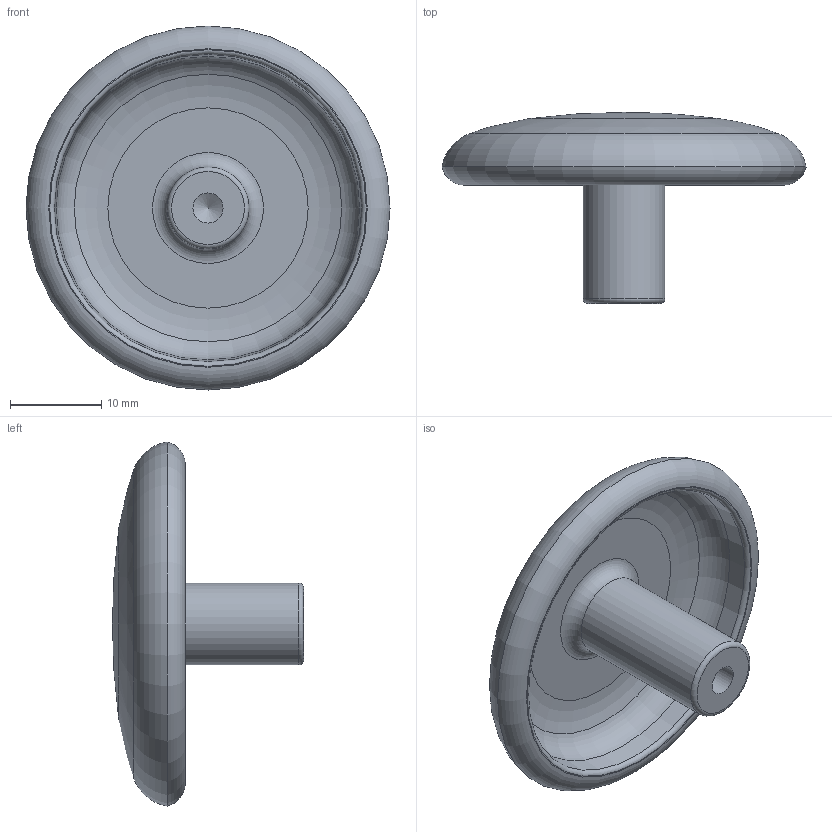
import cadquery as cq
import math


cap_radius = 20.0
cap_height = 8.0
crest_height = 2.0
crown_radius = 80.0
crown_edge_radius = 10.5
shoulder_radius = 28.5
shoulder_edge_radius = 17.0
edge_radius = 4.7
rim_radius = 17.5

lip_fillet = 0.5
mouth_radius = 16.9
wall_end_radius = 16.7
wall_end_height = 2.6
bend_end_radius = 14.7
bend_end_height = 5.34
floor_edge_radius = 11.0
floor_height = 6.1

stem_radius = 4.5
stem_length = 13.0
stem_end_fillet = 0.5
root_fillet = 1.6

hole_radius = 1.65
hole_depth = 10.0
drill_point_angle = 118.0


def arc_middle(start, end, radius):
    """Middle point of the minor arc that bulges to the left of start -> end."""
    dx = end[0] - start[0]
    dy = end[1] - start[1]
    chord = math.hypot(dx, dy)
    rise = radius - math.sqrt(radius**2 - (chord / 2)**2)
    return (
        (start[0] + end[0]) / 2 - rise * dy / chord,
        (start[1] + end[1]) / 2 + rise * dx / chord,
    )


def circle_height(center, radius, distance):
    """Height of the upper half of a circle at a distance from the axis."""
    return center[1] + math.sqrt(radius**2 - (distance - center[0])**2)


def make_body():
    """Revolve the half section of cap and stem around the Y axis."""
    crown_center = (0.0, cap_height - crown_radius)
    crown_edge = (crown_edge_radius, circle_height(crown_center, crown_radius, crown_edge_radius))

    inward = shoulder_radius / crown_radius
    shoulder_center = (
        crown_edge[0] + inward * (crown_center[0] - crown_edge[0]),
        crown_edge[1] + inward * (crown_center[1] - crown_edge[1]),
    )
    shoulder_edge = (
        shoulder_edge_radius,
        circle_height(shoulder_center, shoulder_radius, shoulder_edge_radius),
    )
    crest = (cap_radius, crest_height)

    rim_end = (rim_radius, 0.0)
    rim_width = cap_radius - rim_radius
    rim_arc_radius = (rim_width**2 + crest_height**2) / (2 * crest_height)

    lip_start = (mouth_radius + lip_fillet, 0.0)
    lip_end = (mouth_radius, lip_fillet)

    wall_end = (wall_end_radius, wall_end_height)
    bend_end = (bend_end_radius, bend_end_height)
    floor_edge = (floor_edge_radius, floor_height)
    root_outer = (stem_radius + root_fillet, floor_height)
    root_inner = (stem_radius, floor_height - root_fillet)

    end_round_start = (stem_radius, stem_end_fillet - stem_length)
    end_round_end = (stem_radius - stem_end_fillet, -stem_length)

    profile = (
        cq.Workplane("XY")
        .moveTo(0, cap_height)
        .threePointArc(arc_middle((0, cap_height), crown_edge, crown_radius), crown_edge)
        .threePointArc(arc_middle(crown_edge, shoulder_edge, shoulder_radius), shoulder_edge)
        .threePointArc(arc_middle(shoulder_edge, crest, edge_radius), crest)
        .threePointArc(arc_middle(crest, rim_end, rim_arc_radius), rim_end)
        .lineTo(*lip_start)
        .threePointArc(arc_middle(lip_start, lip_end, lip_fillet), lip_end)
        .lineTo(*wall_end)
        .tangentArcPoint(bend_end, relative=False)
        .tangentArcPoint(floor_edge, relative=False)
        .lineTo(*root_outer)
        .threePointArc(arc_middle(root_inner, root_outer, root_fillet), root_inner)
        .lineTo(*end_round_start)
        .threePointArc(arc_middle(end_round_start, end_round_end, stem_end_fillet), end_round_end)
        .lineTo(0, -stem_length)
        .close()
    )
    return profile.revolve(360, (0, 0, 0), (0, 1, 0))


def make_hole():
    """Blind drilled hole with a conical bottom, entering from the stem end."""
    point_length = hole_radius / math.tan(math.radians(drill_point_angle / 2))
    cone_base = hole_depth - stem_length
    profile = (
        cq.Workplane("XY")
        .moveTo(0, -stem_length)
        .lineTo(hole_radius, -stem_length)
        .lineTo(hole_radius, cone_base)
        .lineTo(0, cone_base + point_length)
        .close()
    )
    return profile.revolve(360, (0, 0, 0), (0, 1, 0))


result = make_body().cut(make_hole())